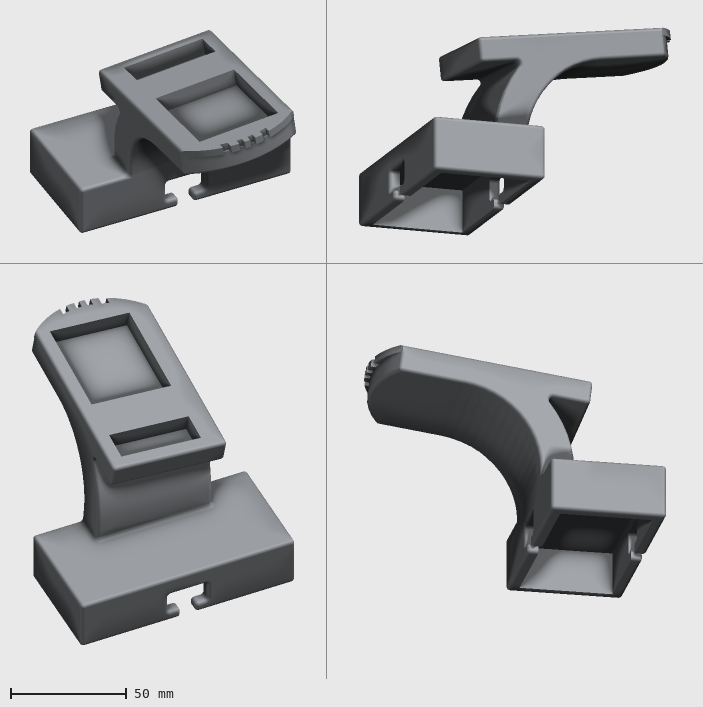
import cadquery as cq
import math

BASE_X = 51.0
BASE_Y = 101.9
BASE_Z = 23.9
WALL = 5.0
EDGE_R = 1.6

SLOT_WIDTH = 19.1
SLOT_GAP = 7.2
SLOT_CEILING = 14.7
SLOT_LIP = 4.6

ROLL = 5.0
ARM_WIDTH = 54.6
NECK_THICKNESS = 15.2
NECK_FRONT_R = 38.0
NECK_BURIED = 7.3
FOOT_R = 2.1

PITCH = 7.7
HEAD_X = 26.9
HEAD_Z = 45.2
REAR_DEPTH = 11.0
FRONT_DEPTH = 12.7
SIDE_LENGTH = 84.2
BODY_BULGE = 8.7
LIP_BULGE = 11.1
LIP_THICKNESS = 3.4
LIP_OVERLAP = 18.3

NOTCH_SPANS = [(1.3, 3.9), (7.7, 11.1)]
NOTCH_DEPTH = 3.2

POCKET_SPANS = [(6.0, 19.1), (37.9, 82.8)]
POCKET_WIDTH = 38.0
POCKET_SHIFT = 1.8
POCKET_DEPTH = 8.0

COS_P = math.cos(math.radians(PITCH))
SIN_P = math.sin(math.radians(PITCH))
HALF_WIDTH = ARM_WIDTH / 2


def head_point(u, v):
    """Turn head coordinates into X, Z of the leaning frame."""
    return (HEAD_X + u * COS_P - v * SIN_P, HEAD_Z + u * SIN_P + v * COS_P)


def head_plane(v=0.0):
    """Workplane parallel to the head top: local x is u, local y is Y."""
    x, z = head_point(0, v)
    return cq.Workplane(cq.Plane((x, 0, z), (COS_P, 0, SIN_P), (-SIN_P, 0, COS_P)))


def rounded_end_plate(start, bulge, top, thickness):
    """Plate in the head plane, its +u end closed by an arc."""
    return (
        head_plane(v=top)
        .moveTo(start, -HALF_WIDTH)
        .lineTo(SIDE_LENGTH, -HALF_WIDTH)
        .threePointArc((SIDE_LENGTH + bulge, 0), (SIDE_LENGTH, HALF_WIDTH))
        .lineTo(start, HALF_WIDTH)
        .close()
        .extrude(-thickness)
    )


def make_base():
    block = cq.Workplane("XY").box(BASE_X, BASE_Y, BASE_Z, centered=(False, True, False))
    slot = (
        cq.Workplane("XY", origin=(0, 0, SLOT_LIP))
        .box(BASE_X, SLOT_WIDTH, SLOT_CEILING - SLOT_LIP, centered=(False, True, False))
    )
    gap = cq.Workplane("XY").box(BASE_X, SLOT_GAP, SLOT_CEILING, centered=(False, True, False))
    return block.cut(slot).cut(gap).edges().fillet(EDGE_R)


def make_cavity():
    return cq.Workplane("XY", origin=(WALL, 0, 0)).box(
        BASE_X - 2 * WALL, BASE_Y - 2 * WALL, BASE_Z - WALL, centered=(False, True, False)
    )


def make_arm():
    centre_x = BASE_X + NECK_FRONT_R
    centre_v = -FRONT_DEPTH - NECK_FRONT_R
    centre_u = (centre_x - HEAD_X + centre_v * SIN_P) / COS_P
    centre_z = head_point(centre_u, centre_v)[1]
    back_r = NECK_FRONT_R + NECK_THICKNESS

    def arc_point(radius, angle):
        return (centre_x - radius * math.cos(angle), centre_z + radius * math.sin(angle))

    front_end = head_point(centre_u, -FRONT_DEPTH)
    front_sweep = math.atan2(front_end[1] - centre_z, centre_x - front_end[0])
    armpit_u = centre_u - math.sqrt(back_r**2 - (-REAR_DEPTH - centre_v) ** 2)
    armpit = head_point(armpit_u, -REAR_DEPTH)
    back_sweep = math.atan2(armpit[1] - centre_z, centre_x - armpit[0])
    reach = SIDE_LENGTH + LIP_BULGE

    profile = (
        cq.Workplane("XZ", origin=(0, HALF_WIDTH, 0))
        .moveTo(BASE_X, -NECK_BURIED)
        .lineTo(BASE_X, centre_z)
        .threePointArc(arc_point(NECK_FRONT_R, front_sweep / 2), front_end)
        .lineTo(*head_point(reach, -FRONT_DEPTH))
        .lineTo(*head_point(reach, 0))
        .lineTo(*head_point(0, 0))
        .lineTo(*head_point(0, -REAR_DEPTH))
        .lineTo(*armpit)
        .threePointArc(arc_point(back_r, back_sweep / 2), arc_point(back_r, 0))
        .lineTo(BASE_X - NECK_THICKNESS, -NECK_BURIED)
        .close()
        .extrude(ARM_WIDTH)
    )
    armpit_edge = cq.selectors.NearestToPointSelector((armpit[0], 0, armpit[1]))
    profile = profile.edges(armpit_edge).fillet(EDGE_R)
    outline = rounded_end_plate(-SIDE_LENGTH, BODY_BULGE, SIDE_LENGTH, 3 * SIDE_LENGTH)
    return round_arm_edges(profile.intersect(outline))


def round_arm_edges(arm):
    """Round both side outlines, the two rear edges and the lower end edge."""
    edges = arm.faces("<Y or >Y").edges()
    for v in (0, -REAR_DEPTH):
        x, z = head_point(0, v)
        edges = edges.add(arm.edges("|Y").edges(cq.selectors.NearestToPointSelector((x, 0, z))))
    edges = edges.add(arm.faces(">X").edges("<Z"))
    return edges.fillet(EDGE_R)


def make_lip():
    """Overhanging lip on the rounded end, flush with the head top."""
    start = SIDE_LENGTH - LIP_OVERLAP
    lip = rounded_end_plate(start, LIP_BULGE, 0, LIP_THICKNESS)
    x, z = head_point(start + LIP_OVERLAP / 2, 0)
    for side in (-1, 1):
        edge = cq.selectors.NearestToPointSelector((x, side * HALF_WIDTH, z))
        lip = lip.edges(edge).fillet(EDGE_R)
    return lip


def make_notches():
    """Grip notches whose floors follow the curve of the lip."""
    lip_r = (HALF_WIDTH**2 + LIP_BULGE**2) / (2 * LIP_BULGE)
    arc_centre = SIDE_LENGTH + LIP_BULGE - lip_r
    bars = cq.Workplane("XY")
    for inner, outer in NOTCH_SPANS:
        for side in (-1, 1):
            bars = bars.add(
                head_plane()
                .center(arc_centre + lip_r, side * (inner + outer) / 2)
                .rect(lip_r, outer - inner)
                .extrude(-LIP_THICKNESS)
            )
    core = head_plane().center(arc_centre, 0).circle(lip_r - NOTCH_DEPTH).extrude(-LIP_THICKNESS)
    return bars.combine().cut(core)


def make_pockets():
    pockets = cq.Workplane("XY")
    for start, end in POCKET_SPANS:
        pockets = pockets.add(
            head_plane()
            .center((start + end) / 2, POCKET_SHIFT)
            .rect(end - start, POCKET_WIDTH)
            .extrude(-POCKET_DEPTH)
        )
    return pockets.combine()


def blend_foot(body):
    """Round the join of the neck's back and sides with the flat base top."""
    margin = 0.06
    foot = cq.selectors.BoxSelector(
        (BASE_X - NECK_THICKNESS - margin, -HALF_WIDTH - EDGE_R, BASE_Z - margin),
        (BASE_X - EDGE_R, HALF_WIDTH + EDGE_R, BASE_Z + margin),
    )
    return body.edges(foot).fillet(FOOT_R)


head_and_neck = make_arm().union(make_lip()).cut(make_notches()).cut(make_pockets())
head_and_neck = head_and_neck.rotate((0, 0, 0), (1, 0, 0), ROLL).translate((0, 0, BASE_Z))

result = blend_foot(make_base().union(head_and_neck)).cut(make_cavity())